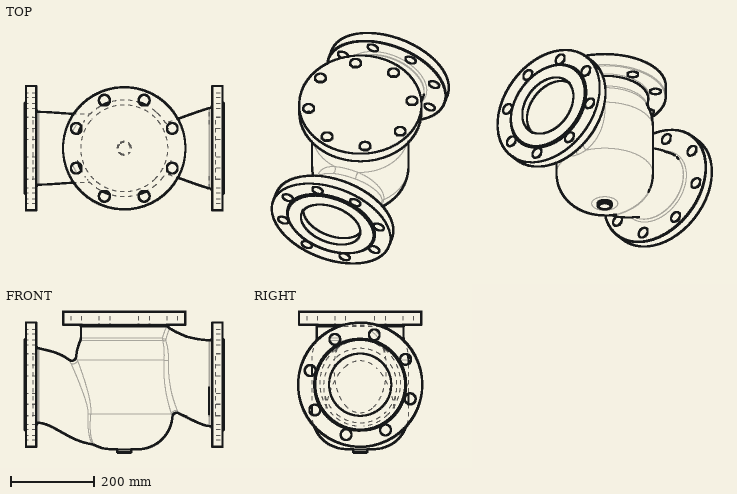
import cadquery as cq
import math

face_to_face = 480.0

flange_diameter = 300.0
flange_thickness = 26.0
raised_face_height = 3.0
raised_face_diameter = 222.0
raised_face_chamfer = 2.9
port_diameter = 150.0
port_depth = 20.0
flange_hole_turn = 6.7
flange_edge_chamfer = 1.0

bolt_count = 8
bolt_hole_diameter = 26.0
bolt_circle_diameter = 250.0

cover_diameter = 295.0
cover_top = 176.0
cover_thickness = 32.0
cover_edge_fillet = 2.0

vessel_radius = 116.5
vessel_top = 59.0
vessel_bottom = -71.0
dome_radius = 85.0
shoulder_radius = 112.0
neck_radius = 104.7
neck_blend_radius = 14.0
neck_root_fillet = 3.5

boss_diameter = 34.0
boss_bottom = -164.0
boss_chamfer = 2.5

pipe_root_fillet = 5.0
seam_fillet = 10.0

inlet_sections = [
    (-205.0, -2.0, 88.0, 90.0),
    (-165.0, -14.5, 86.0, 92.0),
    (-120.0, -40.5, 83.0, 90.5),
    (-82.0, -67.0, 81.5, 76.0),
    (-30.0, -96.0, 75.0, 60.0),
]
outlet_sections = [
    (204.0, 3.5, 97.0, 103.5),
    (165.0, 13.0, 84.0, 99.0),
    (129.0, 28.5, 71.0, 96.5),
    (95.0, 45.0, 60.0, 99.0),
    (60.0, 57.0, 54.0, 95.0),
]

section_points = 16

inlet_seam_span = (-125.0, -60.0)
outlet_seam_span = (80.0, 125.0)

pick_margin = 0.1

cover_bottom = cover_top - cover_thickness
neck_end = cover_bottom + cover_thickness / 2
dome_bottom = vessel_bottom - dome_radius
flange_outer = face_to_face / 2 - raised_face_height
flange_inner = flange_outer - flange_thickness


def bolt_holes(plane, depth, first_angle):
    """Ring of cylinders, drilled from the plane along its normal."""
    return (
        cq.Workplane(plane)
        .polarArray(bolt_circle_diameter / 2, first_angle, 360, bolt_count)
        .circle(bolt_hole_diameter / 2)
        .extrude(depth)
    )


def make_vessel():
    """Bottle-shaped vessel: neck, rounded shoulder, straight wall and domed bottom."""
    arc_center_r = vessel_radius - shoulder_radius
    shoulder_angle = math.acos((neck_radius - arc_center_r) / shoulder_radius)
    shoulder_top = vessel_top + shoulder_radius * math.sin(shoulder_angle)
    shoulder_mid = (
        arc_center_r + shoulder_radius * math.cos(shoulder_angle / 2),
        vessel_top + shoulder_radius * math.sin(shoulder_angle / 2),
    )
    dome_center_r = vessel_radius - dome_radius
    dome_mid = (
        dome_center_r + dome_radius * math.cos(math.pi / 4),
        vessel_bottom - dome_radius * math.sin(math.pi / 4),
    )
    vessel = (
        cq.Workplane("XZ")
        .moveTo(0, dome_bottom)
        .lineTo(dome_center_r, dome_bottom)
        .threePointArc(dome_mid, (vessel_radius, vessel_bottom))
        .lineTo(vessel_radius, vessel_top)
        .threePointArc(shoulder_mid, (neck_radius, shoulder_top))
        .lineTo(neck_radius, neck_end)
        .lineTo(0, neck_end)
        .close()
        .revolve(360, (0, 0, 0), (0, 1, 0))
    )
    neck_edge = cq.selectors.BoxSelector(
        (-vessel_radius, -vessel_radius, shoulder_top - pick_margin),
        (vessel_radius, vessel_radius, shoulder_top + pick_margin),
        boundingbox=True,
    )
    return vessel.edges(neck_edge).fillet(neck_blend_radius)


def make_cover():
    """Blind cover flange with its bolt holes and the rounded root onto the neck."""
    flange = (
        cq.Workplane("XY", origin=(0, 0, cover_bottom))
        .circle(cover_diameter / 2)
        .extrude(cover_thickness)
        .edges("<Z")
        .fillet(cover_edge_fillet)
    )
    root = (
        cq.Workplane("XZ")
        .moveTo(0, cover_bottom - neck_root_fillet)
        .lineTo(neck_radius, cover_bottom - neck_root_fillet)
        .radiusArc((neck_radius + neck_root_fillet, cover_bottom), neck_root_fillet)
        .lineTo(0, cover_bottom)
        .close()
        .revolve(360, (0, 0, 0), (0, 1, 0))
    )
    plane = cq.Plane((0, 0, cover_bottom), (1, 0, 0), (0, 0, 1))
    half_pitch = 180 / bolt_count
    return flange.union(root).cut(bolt_holes(plane, cover_thickness, half_pitch))


def make_boss():
    """Drain boss, starting inside the dome and ending below it."""
    return (
        cq.Workplane("XY", origin=(0, 0, boss_bottom))
        .circle(boss_diameter / 2)
        .extrude(vessel_bottom - boss_bottom)
        .edges("<Z")
        .chamfer(boss_chamfer)
    )


def section_wire(x, center_z, half_width, half_height):
    """Closed elliptical section across X, starting at its lowest point."""
    step = 2 * math.pi / section_points
    points = [
        cq.Vector(
            x,
            half_width * math.sin(i * step),
            center_z - half_height * math.cos(i * step),
        )
        for i in range(section_points)
    ]
    return cq.Wire.assembleEdges([cq.Edge.makeSpline(points, periodic=True)])


def make_pipe(sections):
    """Bent pipe lofted through elliptical sections."""
    return cq.Workplane(cq.Solid.makeLoft([section_wire(*section) for section in sections]))


def make_flange(side, end_section):
    """Side flange and pipe stub; side is -1 for the inlet and +1 for the outlet."""
    turn = math.radians(flange_hole_turn)
    across = (0, math.cos(turn), math.sin(turn))
    plane = cq.Plane((side * flange_inner, 0, 0), across, (side, 0, 0))
    inner_side = ">X" if side < 0 else "<X"
    outer_side = "<X" if side < 0 else ">X"
    disc = (
        cq.Workplane(plane)
        .circle(flange_diameter / 2)
        .extrude(flange_thickness)
        .edges(inner_side)
        .chamfer(flange_edge_chamfer)
    )
    raised_face = (
        cq.Workplane(plane)
        .circle(raised_face_diameter / 2)
        .extrude(flange_thickness + raised_face_height)
        .edges(outer_side)
        .chamfer(raised_face_chamfer)
    )
    stub_length = flange_inner - abs(end_section[0])
    stub = cq.Workplane(
        cq.Solid.extrudeLinear(section_wire(*end_section), [], cq.Vector(side * stub_length, 0, 0))
    )
    root_limit = raised_face_diameter / 2
    root = cq.selectors.BoxSelector(
        (side * flange_inner - pick_margin, -root_limit, -root_limit),
        (side * flange_inner + pick_margin, root_limit, root_limit),
        boundingbox=True,
    )
    port = (
        cq.Workplane(plane)
        .workplane(offset=flange_thickness + raised_face_height - port_depth)
        .circle(port_diameter / 2)
        .extrude(port_depth)
    )
    flange = disc.union(raised_face).union(stub).edges(root).fillet(pipe_root_fillet)
    half_pitch = 180 / bolt_count
    return flange.cut(port).cut(bolt_holes(plane, flange_thickness, half_pitch))


def join_pipe(body, sections, seam_near, seam_far):
    """Add a pipe to the vessel and fillet its seam, which lies between the two X places."""
    seam = cq.selectors.BoxSelector(
        (seam_near, -vessel_radius, dome_bottom + seam_fillet / 2),
        (seam_far, vessel_radius, cover_bottom - pick_margin),
        boundingbox=True,
    )
    return body.union(make_pipe(sections)).edges(seam).fillet(seam_fillet)


result = make_vessel()
result = join_pipe(result, inlet_sections, *inlet_seam_span)
result = join_pipe(result, outlet_sections, *outlet_seam_span)
result = result.union(make_cover()).union(make_boss())
result = result.union(make_flange(-1, inlet_sections[0]))
result = result.union(make_flange(1, outlet_sections[0]))